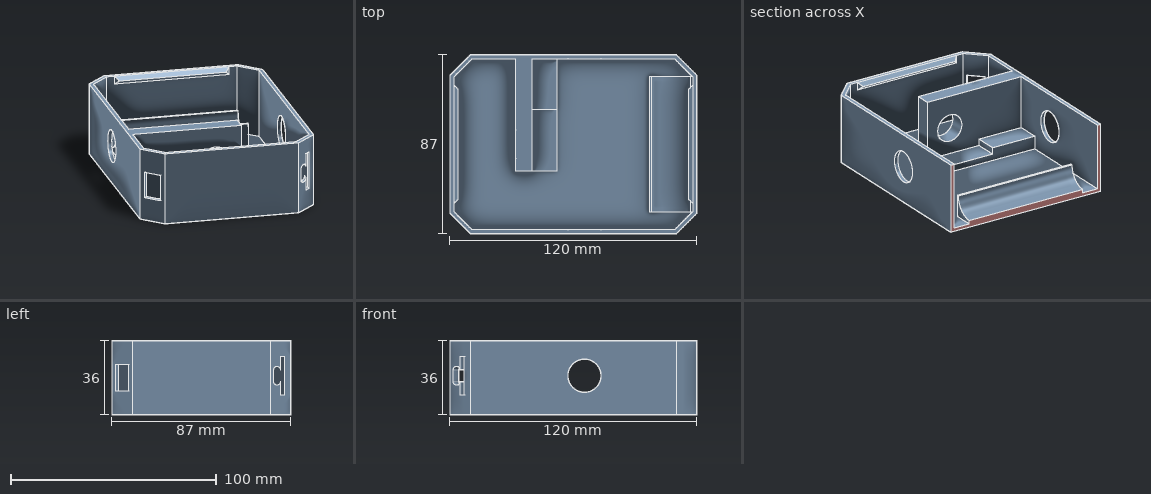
import cadquery as cq

length = 120.0
width = 87.0
height = 36.0
corner = 10.0
wall = 2.0
floor_thickness = 2.0
inner_x = length / 2 - wall
inner_y = width / 2 - wall

axis_z = 19.0

side_hole_diameter = 16.0
side_hole_x = 5.4

upright_x = -28.0
upright_thickness = 8.0
upright_end_y = -13.0
upright_hole_diameter = 14.0

pad_width = 12.0
pad_step_y = 17.0
pad_low_height = 3.4
pad_high_height = 6.8

cradle_length = 66.0
cradle_width = 21.0
cradle_radius = 9.5
cradle_top_z = 13.3

ridge_length = 57.5
ridge_depth = 2.0
ridge_centre_z = height - ridge_depth

slot_y = 3.2 - width / 2
slot_thickness = 1.9
slot_height = 18.6
plug_thickness = 3.3
plug_height = 9.0
plug_fillet = 1.6

window_width = 9.0
window_height = 13.0
window_z = height / 2
corner_face_angle = 45.0


def box_between(x, y, z):
    """Axis-aligned box from three (low, high) pairs."""
    size = [high - low for low, high in (x, y, z)]
    return cq.Workplane("XY").box(*size, centered=False).translate((x[0], y[0], z[0]))


def tray():
    outer = cq.Workplane("XY").box(length, width, height, centered=(True, True, False))
    outer = outer.edges("|Z").chamfer(corner)
    rim = outer.faces(">Z").wires().toPending().offset2D(-wall)
    cavity = rim.extrude(floor_thickness - height, combine=False)
    return outer.cut(cavity)


def upright():
    x_range = (upright_x, upright_x + upright_thickness)
    body = box_between(x_range, (upright_end_y, inner_y), (0, height))
    hole = cq.Workplane("YZ", origin=(upright_x, 0, axis_z)).circle(upright_hole_diameter / 2)
    return body.cut(hole.extrude(upright_thickness))


def pad():
    x_start = upright_x + upright_thickness
    x_range = (x_start, x_start + pad_width)
    low = box_between(x_range, (upright_end_y, inner_y), (0, floor_thickness + pad_low_height))
    high = box_between(x_range, (pad_step_y, inner_y), (0, floor_thickness + pad_high_height))
    return low.union(high)


def cradle():
    half_length = cradle_length / 2
    body = box_between((inner_x - cradle_width, inner_x), (-half_length, half_length), (0, cradle_top_z))
    trough = (
        cq.Workplane("XZ", origin=(inner_x - cradle_width / 2, half_length, cradle_top_z))
        .circle(cradle_radius)
        .extrude(cradle_length)
    )
    return body.cut(trough)


def snap_ridge(side):
    """Roof-shaped ridge with all four slopes at 45 degrees; side is -1 or +1 along X."""
    base_x = side * inner_x
    crest_x = side * (inner_x - ridge_depth)
    half_length = ridge_length / 2
    roof = (
        cq.Workplane("XZ", origin=(0, half_length, ridge_centre_z))
        .polyline([(base_x, -ridge_depth), (base_x, ridge_depth), (crest_x, 0)])
        .close()
        .extrude(ridge_length)
    )
    crest_y = half_length - ridge_depth
    sloped_ends = (
        cq.Workplane("XY", origin=(0, 0, ridge_centre_z))
        .polyline([(base_x, -half_length), (base_x, half_length), (crest_x, crest_y), (crest_x, -crest_y)])
        .close()
        .extrude(ridge_depth, both=True)
    )
    return roof.intersect(sloped_ends)


def side_holes():
    holes = cq.Workplane("XZ", origin=(side_hole_x, 0, axis_z)).circle(side_hole_diameter / 2)
    return holes.extrude(width, both=True)


def connector_opening():
    x_range = (-length / 2, corner + 2 * wall - length / 2)
    slot_end_y = slot_y + slot_thickness
    slot = box_between(
        x_range, (slot_y, slot_end_y), (axis_z - slot_height / 2, axis_z + slot_height / 2)
    )
    plug = box_between(
        x_range,
        (slot_end_y, slot_end_y + plug_thickness),
        (axis_z - plug_height / 2, axis_z + plug_height / 2),
    )
    return slot.union(plug.edges("|X").fillet(plug_fillet))


def switch_window():
    window_depth = 4 * wall
    window = cq.Workplane("XY").box(window_width, window_depth, window_height)
    window = window.rotate((0, 0, 0), (0, 0, 1), corner_face_angle)
    return window.translate(((corner - length) / 2, (width - corner) / 2, window_z))


result = tray().union(upright()).union(pad()).union(cradle())
for side in (-1, 1):
    result = result.union(snap_ridge(side))
result = result.cut(side_holes()).cut(connector_opening()).cut(switch_window())